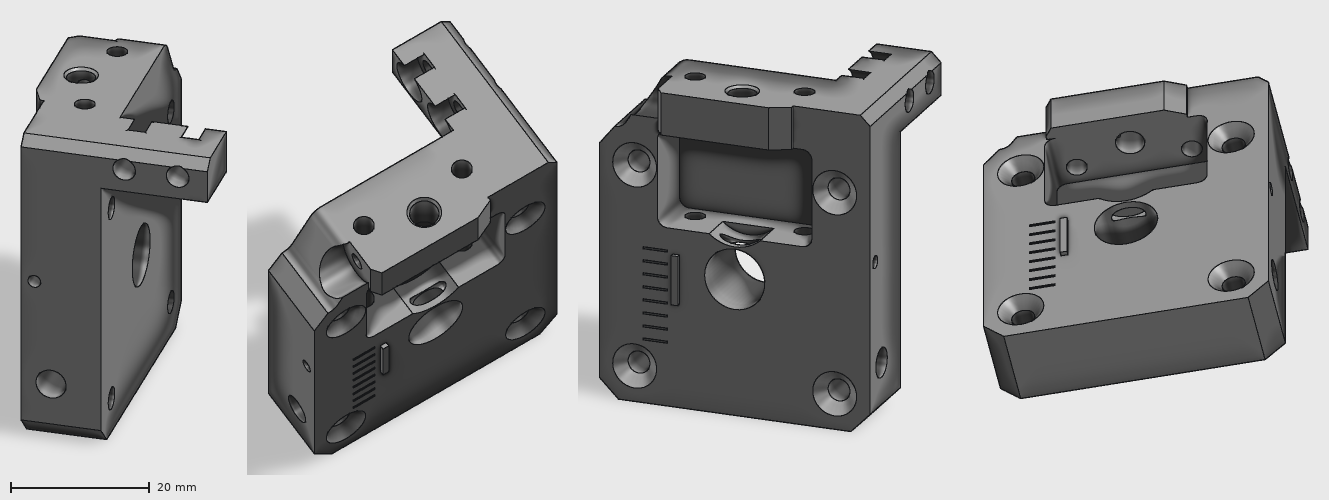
import cadquery as cq


plate_thickness = 12.0
plate_width = 42.0
plate_height = 49.0
half_side = plate_width / 2
top_z = plate_height - half_side
bottom_chamfer = 3.0
top_front_chamfer = 1.5
back_shoulder_width = 2.35
back_shoulder_drop = 2.9
slope_foot_y = half_side - 3.55
slope_head_y = half_side - 7.95
slope_foot_radius = 2.0
slope_head_radius = 2.4

bridge_height = 6.5
bridge_proud = 2.0
bridge_step = 0.6
bridge_back_y = 11.65
bridge_front_y = -9.05
bridge_back_bevel = 1.05
bridge_front_bevel = 3.05

arm_length = 15.95
arm_depth = 10.0
arm_end_x = plate_thickness + arm_length
arm_back_y = arm_depth - half_side
arm_hole_x = (15.5, 23.5)
arm_hole_diameter = 3.4
arm_hole_drop = 3.0
nut_recess_diameter = 6.5
nut_recess_depth = 3.5

shaft_bore_diameter = 9.3
screw_spacing = 31.0
screw_diameter = 3.4
screw_head_diameter = 6.8

pocket_width = 23.95
pocket_height = 15.0
pocket_depth = 8.7
pocket_corner_radius = 1.5
pocket_top_z = top_z - bridge_height
pocket_floor_z = pocket_top_z - pocket_height
groove_diameter = 11.95
groove_z = 11.0
groove_length = 5.4

feed_x = 3.0
feed_diameter = 4.2
feed_mouth_diameter = 5.0
pin_x = 6.0
pin_spacing = 16.95
pin_diameter = 3.0
pin_floor_depth = 6.0

cross_pin_x = 2.0
cross_pin_z = 4.85
cross_pin_diameter = 1.9
hinge_x = 4.5
hinge_z = -11.5
hinge_diameter = 4.5
scoop_drop = 3.0
scoop_diameter = 7.0
clamp_screw_diameter = 2.5

tick_count = 8
tick_pitch = 2.0
tick_top_z = 2.9
tick_center_y = 12.35
tick_length = 3.7
tick_height = 0.3
tick_depth = 0.1
pointer_center_y = 9.05
pointer_center_z = -1.22
pointer_width = 1.05
pointer_length = 7.6
pointer_proud = 0.7


def cylinder(diameter, length, start, direction):
    """Solid cylinder from a start point along a direction."""
    return cq.Workplane(cq.Solid.makeCylinder(
        diameter / 2, length, cq.Vector(*start), cq.Vector(*direction)))


def cone(diameter, end_diameter, length, start, direction):
    """Solid cone from a start point along a direction."""
    return cq.Workplane(cq.Solid.makeCone(
        diameter / 2, end_diameter / 2, length, cq.Vector(*start), cq.Vector(*direction)))


def box(x_range, y_range, z_range):
    """Solid box between the given limits."""
    sizes = [high - low for low, high in (x_range, y_range, z_range)]
    corner = (x_range[0], y_range[0], z_range[0])
    return cq.Workplane(cq.Solid.makeBox(*sizes, cq.Vector(*corner)))


def make_plate():
    outline = [
        (-half_side, top_z),
        (-half_side, -half_side + bottom_chamfer),
        (-half_side + bottom_chamfer, -half_side),
        (half_side - bottom_chamfer, -half_side),
        (half_side, -half_side + bottom_chamfer),
        (half_side, half_side - back_shoulder_drop),
        (half_side - back_shoulder_width, half_side),
        (slope_foot_y, half_side),
        (slope_head_y, top_z),
    ]
    plate = cq.Workplane("YZ").polyline(outline).close().extrude(plate_thickness)
    middle_x = plate_thickness / 2
    foot_edge = cq.NearestToPointSelector((middle_x, slope_foot_y, half_side))
    head_edge = cq.NearestToPointSelector((middle_x, slope_head_y, top_z))
    plate = plate.edges(foot_edge).fillet(slope_foot_radius)
    return plate.edges(head_edge).fillet(slope_head_radius)


def make_scoop():
    """Round clearance along Y, from the bridge block to the +Y side, open towards -X above its axis."""
    axis_z = top_z - scoop_drop
    length = half_side - bridge_back_y
    scoop = cylinder(scoop_diameter, length, (feed_x, bridge_back_y, axis_z), (0, 1, 0))
    return scoop.union(box((0, feed_x), (bridge_back_y, half_side), (axis_z, top_z)))


def make_bridge_block():
    outline = [
        (0, bridge_back_y),
        (-bridge_step, bridge_back_y),
        (-bridge_proud, bridge_back_y - bridge_back_bevel),
        (-bridge_proud, bridge_front_y + bridge_front_bevel),
        (-bridge_step, bridge_front_y),
        (0, bridge_front_y),
    ]
    return cq.Workplane("XY", origin=(0, 0, pocket_top_z)).polyline(outline).close().extrude(bridge_height)


def make_arm():
    return box((0, arm_end_x), (-half_side, arm_back_y), (top_z - bridge_height, top_z))


def make_top_front_chamfer():
    """Wedge that bevels the top -Y edge of plate and arm."""
    outline = [
        (-half_side, top_z),
        (-half_side + top_front_chamfer, top_z),
        (-half_side, top_z - top_front_chamfer),
    ]
    return cq.Workplane("YZ").polyline(outline).close().extrude(arm_end_x)


def cut_arm_holes(body):
    hole_z = top_z - arm_hole_drop
    for x in arm_hole_x:
        body = body.cut(cylinder(arm_hole_diameter, arm_depth, (x, -half_side, hole_z), (0, 1, 0)))
        body = body.cut(cylinder(nut_recess_diameter, nut_recess_depth, (x, arm_back_y, hole_z), (0, -1, 0)))
    return body


def cut_motor_holes(body):
    body = body.cut(cylinder(shaft_bore_diameter, plate_thickness, (0, 0, 0), (1, 0, 0)))
    sink_depth = (screw_head_diameter - screw_diameter) / 2
    for y in (-screw_spacing / 2, screw_spacing / 2):
        for z in (-screw_spacing / 2, screw_spacing / 2):
            body = body.cut(cylinder(screw_diameter, plate_thickness, (0, y, z), (1, 0, 0)))
            body = body.cut(cone(screw_head_diameter, screw_diameter, sink_depth, (0, y, z), (1, 0, 0)))
    return body


def cut_pocket(body):
    pocket = box((0, pocket_depth), (-pocket_width / 2, pocket_width / 2), (pocket_floor_z, pocket_top_z))
    body = body.cut(pocket.edges("|X").fillet(pocket_corner_radius))
    return body.cut(cylinder(groove_diameter, groove_length, (0, 0, groove_z), (1, 0, 0)))


def cut_vertical_holes(body):
    down = (0, 0, -1)
    mouth_depth = (feed_mouth_diameter - feed_diameter) / 2
    body = body.cut(cylinder(feed_diameter, bridge_height, (feed_x, 0, top_z), down))
    body = body.cut(cone(feed_mouth_diameter, feed_diameter, mouth_depth, (feed_x, 0, top_z), down))
    pin_length = bridge_height + pocket_height + pin_floor_depth
    for y in (-pin_spacing / 2, pin_spacing / 2):
        body = body.cut(cylinder(pin_diameter, pin_length, (pin_x, y, top_z), down))
    return body


def cut_clamp_screw_hole(body):
    """Hole on the scoop axis, from the scoop wall into the feed hole."""
    return body.cut(cylinder(clamp_screw_diameter, bridge_back_y, (feed_x, 0, top_z - scoop_drop), (0, 1, 0)))


def cut_cross_holes(body):
    for x, z, diameter in (
        (cross_pin_x, cross_pin_z, cross_pin_diameter),
        (hinge_x, hinge_z, hinge_diameter),
    ):
        body = body.cut(cylinder(diameter, plate_width, (x, -half_side, z), (0, 1, 0)))
    return body


def add_tension_scale(body):
    tick_y = (tick_center_y - tick_length / 2, tick_center_y + tick_length / 2)
    for index in range(tick_count):
        z = tick_top_z - index * tick_pitch
        body = body.cut(box((0, tick_depth), tick_y, (z - tick_height / 2, z + tick_height / 2)))
    pointer = box(
        (-pointer_proud, 0),
        (pointer_center_y - pointer_width / 2, pointer_center_y + pointer_width / 2),
        (pointer_center_z - pointer_length / 2, pointer_center_z + pointer_length / 2),
    )
    return body.union(pointer)


body = make_plate().cut(make_scoop())
body = body.union(make_arm()).union(make_bridge_block())
body = body.cut(make_top_front_chamfer())
body = cut_motor_holes(body)
body = cut_pocket(body)
body = cut_arm_holes(body)
body = cut_vertical_holes(body)
body = cut_clamp_screw_hole(body)
body = cut_cross_holes(body)
result = add_tension_scale(body)